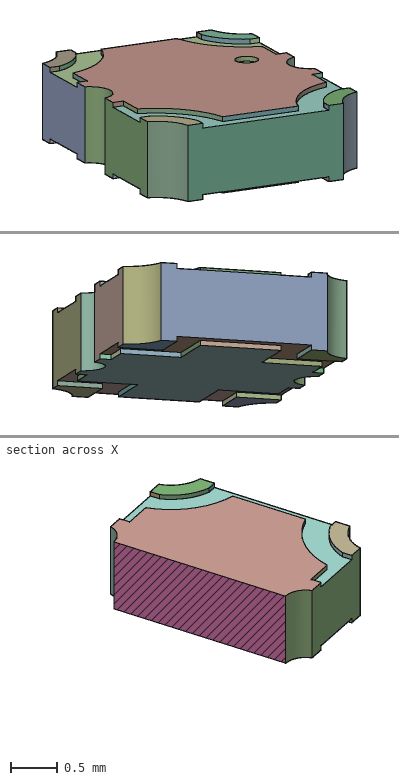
import cadquery as cq

length = 3.17
width = 2.54
height = 0.86

corner_offset = 0.1
corner_notch_radius = 0.44
side_offset = 0.063
side_notch_radius = 0.25

pad_height = 0.055
pad_margin = 0.127
side_tab_width = 0.87
plate_clearance_radius = 0.94
corner_pad_radius = 0.647
corner_pad_side = 0.507
bottom_clearance_side = 0.81

mark_radius = 0.127
mark_depth = pad_height
mark_x = -0.39
mark_y = 0.765

corner_centers = [
    (sx * (length / 2 + corner_offset), sy * (width / 2 + corner_offset))
    for sx in (-1, 1)
    for sy in (-1, 1)
]
side_centers = [(0, sy * (width / 2 + side_offset)) for sy in (-1, 1)]


def block(size_x, size_y, size_z):
    """Block centred on X and Y, resting on Z = 0."""
    return cq.Workplane("XY").box(size_x, size_y, size_z, centered=(True, True, False))


def cylinders(centers, radius, depth):
    """Vertical cylinders rising from Z = 0."""
    return cq.Workplane("XY").pushPoints(centers).circle(radius).extrude(depth)


def corner_squares(side):
    """Square blocks of pad height, one in each corner of the outline."""
    return (
        cq.Workplane("XY")
        .rect(length - side, width - side, forConstruction=True)
        .vertices()
        .rect(side, side)
        .extrude(pad_height)
    )


def center_plate(corner_clearance):
    """Inset plate with its corners cleared and a tab reaching each long side."""
    plate = block(length - 2 * pad_margin, width - 2 * pad_margin, pad_height)
    return plate.cut(corner_clearance).union(block(side_tab_width, width, pad_height))


top_clearance = cylinders(corner_centers, plate_clearance_radius, pad_height)
corner_disks = cylinders(corner_centers, corner_pad_radius, pad_height)
top_corner_pads = corner_squares(corner_pad_side).intersect(corner_disks)
top_pads = center_plate(top_clearance).union(top_corner_pads)

bottom_clearance = corner_squares(bottom_clearance_side)
bottom_pads = center_plate(bottom_clearance).union(corner_squares(corner_pad_side))

core = block(length, width, height - 2 * pad_height).translate((0, 0, pad_height))
body = core.union(bottom_pads).union(top_pads.translate((0, 0, height - pad_height)))

body = body.cut(cylinders(corner_centers, corner_notch_radius, height))
body = body.cut(cylinders(side_centers, side_notch_radius, height))

mark = cylinders([(mark_x, mark_y)], mark_radius, mark_depth)
result = body.cut(mark.translate((0, 0, height - mark_depth)))